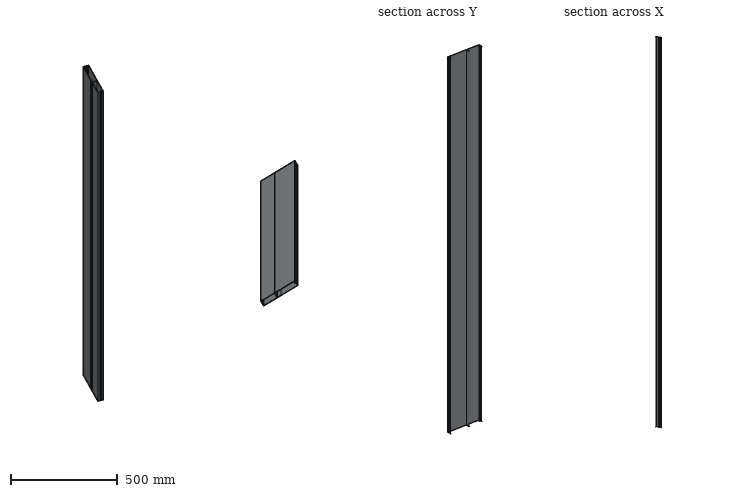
import cadquery as cq

length = 2000.0
width = 190.0
depth = 28.0

wall = 1.5
seam_y = -2.0

ledge_width = 5.0
ledge_front_y = 2.0
ledge_thickness = 5.0

divider_x = 18.0
divider_thickness = 2.0
foot_left_x = -2.0
foot_thickness = 1.0

half_width = width / 2
inner_half_width = half_width - wall
front_y = -depth / 2
back_y = depth / 2
inner_front_y = front_y + wall
inner_back_y = back_y - wall


def strip(x_a, x_b, y_a, y_b):
    """Full-length bar between two opposite corners of its rectangular cross-section."""
    bar = cq.Workplane("XY").box(abs(x_b - x_a), abs(y_b - y_a), length)
    return bar.translate(((x_a + x_b) / 2, (y_a + y_b) / 2, 0))


def make_channel(outer_y, inner_y):
    """Shallow U channel: a plate from outer_y to inner_y, with legs that end on the seam."""
    outer = strip(-half_width, half_width, outer_y, seam_y)
    hollow = strip(-inner_half_width, inner_half_width, inner_y, seam_y)
    return outer.cut(hollow)


def make_divider():
    """Web from the back plate to the cover, with a thin foot lying along the cover."""
    web_left_x = divider_x - divider_thickness / 2
    web_right_x = divider_x + divider_thickness / 2
    web = strip(web_left_x, web_right_x, inner_front_y, inner_back_y)
    foot = strip(foot_left_x, web_right_x, inner_front_y, inner_front_y + foot_thickness)
    return web.union(foot)


def make_base():
    """Back channel with the divider and a ledge along each side wall."""
    body = make_channel(back_y, inner_back_y).union(make_divider())
    for side in (-1, 1):
        ledge = strip(
            side * inner_half_width,
            side * (inner_half_width - ledge_width),
            ledge_front_y,
            ledge_front_y + ledge_thickness,
        )
        body = body.union(ledge)
    return body


def make_cover():
    """Front channel that closes the base."""
    return make_channel(front_y, inner_front_y)


base = make_base()
cover = make_cover()

result = cq.Compound.makeCompound([base.val(), cover.val()])